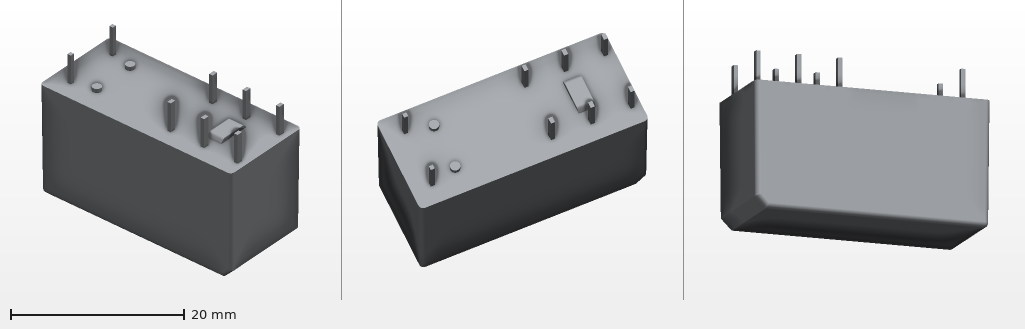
import cadquery as cq
import math

LENGTH = 28.9
WIDTH = 12.6
TOTAL_HEIGHT = 19.1
PIN_HEIGHT = 4.02
BODY_HEIGHT = TOTAL_HEIGHT - PIN_HEIGHT
DRAFT_ANGLE = 0.5
CORNER_CHAMFER = 1.33
EDGE_RADIUS = 0.58

PIN_ROW_Y = 3.75
PIN_THICKNESS = 0.52
COIL_PIN_X = -11.88
COIL_PIN_WIDTH = 0.55
CONTACT_PIN_WIDTH = 0.78
CONTACT_PIN_START_X = 3.27
CONTACT_PIN_PITCH = 5.03
CONTACT_PIN_COUNT = 3

STANDOFF_HEIGHT = 0.55
POST_X = -8.58
POST_Y = 2.98
POST_DIAMETER = 1.2
TAB_X = 8.45
TAB_THICKNESS = 2.17
TAB_LENGTH = 4.6
TAB_ROUND = 0.52


def make_body():
    """Taper the box downwards, cut its lower +X corner and round its edges."""
    inset = BODY_HEIGHT * math.tan(math.radians(DRAFT_ANGLE))
    body = (
        cq.Workplane("XY")
        .rect(LENGTH, WIDTH)
        .extrude(-BODY_HEIGHT, taper=DRAFT_ANGLE)
    )
    corner_x = LENGTH / 2 - inset
    corner = (
        cq.Workplane("XZ")
        .moveTo(corner_x - CORNER_CHAMFER, -BODY_HEIGHT)
        .lineTo(corner_x + CORNER_CHAMFER, -BODY_HEIGHT)
        .lineTo(corner_x + CORNER_CHAMFER, -BODY_HEIGHT + 2 * CORNER_CHAMFER)
        .close()
        .extrude(WIDTH / 2, both=True)
    )
    body = body.cut(corner)
    corner_cut_ends = body.edges("|Y").filter(
        lambda edge: edge.Center().x > 0 and edge.Center().z < 0
    )
    sharp_edges = body.edges(">Z").add(corner_cut_ends)
    rounded_edges = body.edges().filter(
        lambda edge: not any(edge.isSame(sharp) for sharp in sharp_edges.vals())
    )
    return rounded_edges.fillet(EDGE_RADIUS)


def make_pins(x_positions, width):
    points = [(x, side * PIN_ROW_Y) for x in x_positions for side in (-1, 1)]
    return cq.Workplane("XY").pushPoints(points).rect(PIN_THICKNESS, width).extrude(PIN_HEIGHT)


def make_posts():
    points = [(POST_X, -POST_Y), (POST_X, POST_Y)]
    return cq.Workplane("XY").pushPoints(points).circle(POST_DIAMETER / 2).extrude(STANDOFF_HEIGHT)


def make_tab():
    """Trapezoid tab with 45 degree ends and rounded upper edges."""
    half_base = TAB_LENGTH / 2
    half_top = half_base - STANDOFF_HEIGHT
    return (
        cq.Workplane("YZ", origin=(TAB_X, 0, 0))
        .polyline([
            (-half_base, 0),
            (half_base, 0),
            (half_top, STANDOFF_HEIGHT),
            (-half_top, STANDOFF_HEIGHT),
        ])
        .close()
        .extrude(TAB_THICKNESS / 2, both=True)
        .faces(">Z")
        .edges("|X")
        .fillet(TAB_ROUND)
    )


contact_pin_xs = [CONTACT_PIN_START_X + i * CONTACT_PIN_PITCH for i in range(CONTACT_PIN_COUNT)]

result = (
    make_body()
    .union(make_pins([COIL_PIN_X], COIL_PIN_WIDTH))
    .union(make_pins(contact_pin_xs, CONTACT_PIN_WIDTH))
    .union(make_posts())
    .union(make_tab())
)